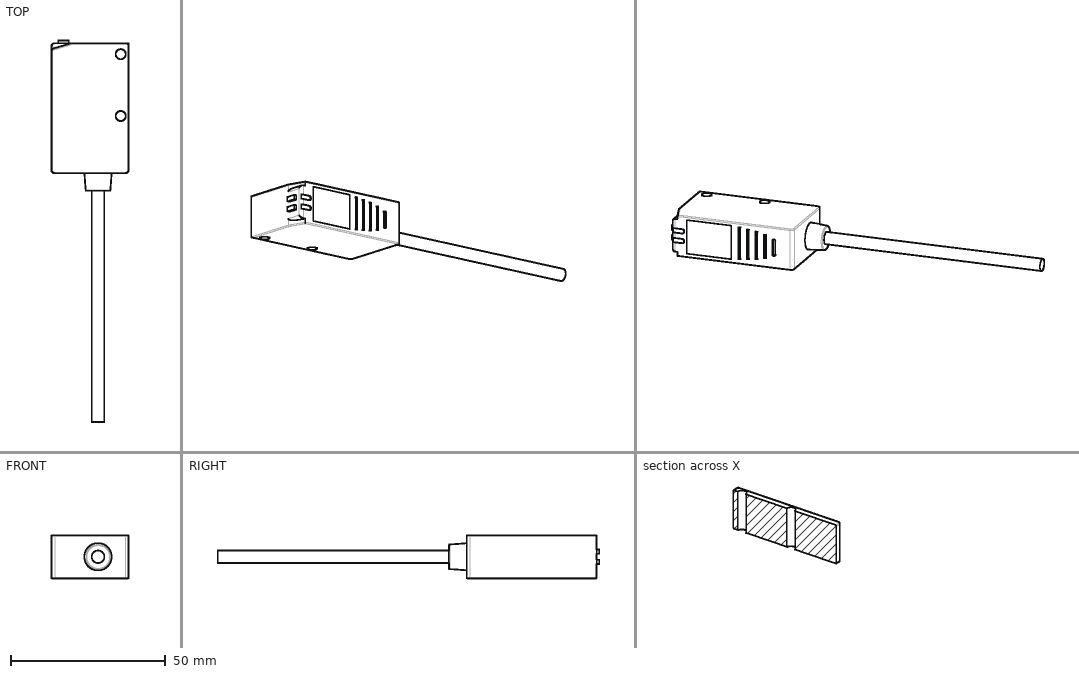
import cadquery as cq

overall_length = 123.3

housing_width = 25.0
housing_length = 42.0
housing_height = 14.0
corner_radius = 1.1
rim_radius = 0.4
left_face = -housing_width / 2
right_face = housing_width / 2
housing_bottom = -housing_height / 2

wedge_width = 6.4
wedge_length = 2.0
wedge_margin = 1.5
lens_height = housing_height - 2 * wedge_margin
lens_radius = 1.1

hole_diameter = 3.2
hole_inset_x = 2.6
hole_inset_y = 3.6
hole_spacing = 20.0

cable_x = 2.6
cable_diameter = 4.1
gland_length = 5.7
gland_base_diameter = 8.9
gland_tip_diameter = 8.0
gland_tip_fillet = 0.31

window_length = 15.3
window_height = 11.5
window_rear_margin = 5.3
window_depth = 0.06

slot_depth = 0.7
slot_width = 0.7
slot_pitch = 3.0
first_slot_y = 9.7
slot_heights = [7.9, 9.4, 10.1, 10.9]
round_slot_y = 6.7
round_slot_width = 1.1
round_slot_height = 5.7

bar_thickness = 1.5
bar_spacing = 3.3
bar_left_inset = 2.2
bar_width = 3.5
bar_protrusion = 0.9
bar_groove_length = 4.3
bar_groove_depth = 0.2

round_end_ratio = 0.49

cable_length = overall_length - housing_length - bar_protrusion


def housing_block():
    """Box with every upright edge rounded except the rear right one."""
    block = cq.Workplane("XY").box(
        housing_width, housing_length, housing_height, centered=(True, False, True)
    )
    return block.edges("|Z and (<X or <Y)").fillet(corner_radius)


def corner_wedge():
    """Full-height triangular prism over the rear left corner."""
    return (
        cq.Workplane("XY", origin=(left_face, housing_length, housing_bottom))
        .polyline([(0, 0), (wedge_width, 0), (0, -wedge_length)])
        .close()
        .extrude(housing_height)
    )


def lens_slab():
    """Slab that limits the lens in height and rounds its rear edges."""
    return (
        cq.Workplane("XY")
        .box(housing_width, housing_length, lens_height, centered=(True, False, True))
        .edges("|X and >Y")
        .fillet(lens_radius)
    )


def housing():
    block = housing_block()
    lens = block.intersect(corner_wedge()).intersect(lens_slab())
    body = block.cut(corner_wedge()).faces("|Z").edges().fillet(rim_radius)
    return body.union(lens)


def mounting_holes():
    """Cutters for the two through holes along the right side."""
    rear_hole_y = housing_length - hole_inset_y
    return (
        cq.Workplane("XY", origin=(right_face - hole_inset_x, 0, housing_bottom))
        .pushPoints([(0, rear_hole_y), (0, rear_hole_y - hole_spacing)])
        .circle(hole_diameter / 2)
        .extrude(housing_height)
    )


def left_recess(y, z, length, height, depth):
    """Rectangular cutter sunk into the left face, centred on (y, z)."""
    recess = cq.Workplane("XY").box(depth, length, height)
    return recess.translate((left_face + depth / 2, y, z))


def window():
    window_y = housing_length - window_rear_margin - window_length / 2
    return left_recess(window_y, 0, window_length, window_height, window_depth)


def round_slot():
    slot = left_recess(round_slot_y, 0, round_slot_width, round_slot_height, slot_depth)
    return slot.edges("|X").fillet(round_end_ratio * round_slot_width)


def bar_groove(z):
    """Groove open at the rear, with a rounded front end."""
    groove_y = housing_length - bar_groove_length / 2
    groove = left_recess(groove_y, z, bar_groove_length, bar_thickness, bar_groove_depth)
    return groove.edges("|X and <Y").fillet(round_end_ratio * bar_thickness)


def indicator_bar(z):
    """Bar rooted in the lens and standing out of the rear face."""
    bar = cq.Workplane("XY").box(
        bar_width, wedge_length + bar_protrusion, bar_thickness, centered=(False, False, True)
    )
    return bar.translate((left_face + bar_left_inset, housing_length - wedge_length, z))


def gland():
    return (
        cq.Workplane("XZ", origin=(cable_x, 0, 0))
        .circle(gland_base_diameter / 2)
        .workplane(offset=gland_length)
        .circle(gland_tip_diameter / 2)
        .loft()
        .faces("<Y")
        .edges()
        .fillet(gland_tip_fillet)
    )


def cable():
    return (
        cq.Workplane("XZ", origin=(cable_x, 0, 0))
        .circle(cable_diameter / 2)
        .extrude(cable_length)
    )


result = housing().cut(mounting_holes()).cut(window()).cut(round_slot())

for index, slot_height in enumerate(slot_heights):
    slot_y = first_slot_y + index * slot_pitch
    result = result.cut(left_recess(slot_y, 0, slot_width, slot_height, slot_depth))

for bar_z in (-bar_spacing / 2, bar_spacing / 2):
    result = result.cut(bar_groove(bar_z)).union(indicator_bar(bar_z))

result = result.union(gland()).union(cable())